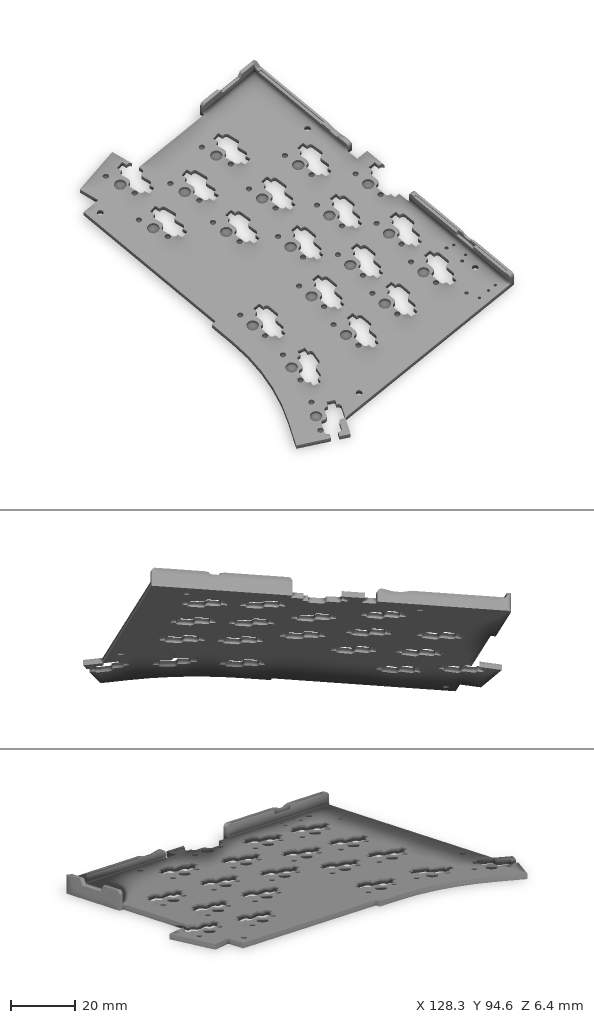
import cadquery as cq
import math


plate_width = 112.8
plate_depth = 74.7
plate_thickness = 1.8

key_pitch_x = 18.0
key_pitch_y = 17.0
rows_per_column = 3
cell_half_width = 9.2
cell_half_depth = 8.7

wall_base = 2.0
side_wall_base = 1.7
wall_foot = 0.4
wall_end_radius = 1.3
left_wall_height = 6.4
left_wall_start = 52.6
rear_left_height = 4.4
rear_left_end = 41.0
rear_right_height = 6.0
rear_right_start = 68.0
rear_face = plate_depth + wall_base

socket_post_diameter = 3.8
side_post_diameter = 1.9
side_post_offset = 5.5
recess_depth = 1.0
screw_hole_diameter = 2.0
screw_holes = [(3.8, 3.5), (109.1, 12.6), (26.4, 71.7), (100.6, 71.7)]
small_pin_diameter = 1.0
small_pins = [(89.8, 73.0), (95.1, 73.0), (109.7, 71.5), (109.7, 68.5), (109.7, 64.5)]
large_pin_diameter = 1.3
large_pins = [(89.0, 70.6), (96.0, 70.6), (105.6, 63.0)]


def turned(x, y, angle):
    """Rotate a vector counterclockwise by an angle in degrees."""
    c = math.cos(math.radians(angle))
    s = math.sin(math.radians(angle))
    return x * c - y * s, x * s + y * c


def key_point(key, x, y):
    """Plate position of a point given relative to a key centre."""
    key_x, key_y, angle = key
    dx, dy = turned(x, y, angle)
    return key_x + dx, key_y + dy


def key_column(x, y, angle):
    """Keys in line, from the front one at (x, y) backwards."""
    front_key = (x, y, angle)
    return [key_point(front_key, 0, row * key_pitch_y) + (angle,) for row in range(rows_per_column)]


middle_column = (54.7, 36.5, 0)
columns = [
    (19.6, 11.0, 10),
    (36.6, 26.2, 4),
    middle_column,
    (middle_column[0] + key_pitch_x, 27.8, 0),
    (middle_column[0] + 2 * key_pitch_x, 25.2, 0),
]
keys = [key for column in columns for key in key_column(*column)]

outer_key_shift = 7.6
outer_angle = columns[0][2]
outer_key = key_point(columns[0], -key_pitch_x, outer_key_shift) + (outer_angle,)
top_key = key_column(*middle_column)[-1]

thumb_x = 67.6
thumb_y = 7.0
thumb_edge_radius = 68.0
thumb_step = 15
thumb_count = 3
thumb_centre = (thumb_x, thumb_y - cell_half_depth - thumb_edge_radius)


def on_thumb_arc(radius, angle):
    dx, dy = turned(0, radius, -angle)
    return thumb_centre[0] + dx, thumb_centre[1] + dy


thumb_keys = [
    on_thumb_arc(thumb_edge_radius + cell_half_depth, i * thumb_step) + (-i * thumb_step,)
    for i in range(thumb_count)
]
keys += [outer_key] + thumb_keys


def key_cell(key):
    w, d = cell_half_width, cell_half_depth
    corners = [(-w, -d), (w, -d), (w, d), (-w, d)]
    outline = [key_point(key, x, y) for x, y in corners]
    return cq.Workplane("XY").polyline(outline).close().extrude(plate_thickness)


def thumb_fan():
    """Plate area under the thumb keys, with its curved front edge."""
    first, last = thumb_keys[0], thumb_keys[-1]
    w, d = cell_half_width, cell_half_depth
    fan = cq.Workplane("XY").moveTo(*key_point(first, -w, d)).lineTo(*key_point(first, -w, -d))
    fan = fan.lineTo(*on_thumb_arc(thumb_edge_radius, 0))
    for i in range(thumb_count - 1):
        middle = on_thumb_arc(thumb_edge_radius, (i + 0.5) * thumb_step)
        end = on_thumb_arc(thumb_edge_radius, (i + 1) * thumb_step)
        fan = fan.threePointArc(middle, end)
    fan = fan.lineTo(*key_point(last, w, -d)).lineTo(*key_point(last, w, d))
    fan = fan.lineTo(*key_point(last, -w, d))
    return fan.close().extrude(plate_thickness)


socket_centre = (2.5, 4.9)
lobe_left = -5.1
lobe_right = 0.5
lobe_top = 3.8
lobe_bottom = -1.7
lobe_radius = 1.0
tab_left = -6.9
tab_top = 2.5
tab_bottom = -0.3


def block(x_min, x_max, y_min, y_max, z_min, z_max):
    corner = (x_min, y_min, z_min)
    return cq.Workplane("XY").box(
        x_max - x_min, y_max - y_min, z_max - z_min, centered=False
    ).translate(corner)


def socket_opening():
    lobe = block(lobe_left, lobe_right, lobe_bottom, lobe_top, 0, plate_thickness)
    lobe = lobe.faces("<X").edges("|Z").fillet(lobe_radius)
    lobe = lobe.edges("|Z").edges(">X").edges(">Y").fillet(lobe_radius)
    tab = block(tab_left, 0, tab_bottom, tab_top, 0, plate_thickness)
    half = lobe.union(tab)
    opening = half.union(half.rotate((0, 0, 0), (0, 0, 1), 180))
    for side in (1, -1):
        neck = (side * lobe_right, -side * lobe_bottom, plate_thickness / 2)
        opening = opening.edges(cq.NearestToPointSelector(neck)).fillet(lobe_radius)
    return opening.translate((*socket_centre, 0))


def recess(points, diameter):
    """Round blind holes in the top of the plate."""
    floor = plate_thickness - recess_depth
    return (
        cq.Workplane("XY").workplane(offset=floor)
        .pushPoints(points).circle(diameter / 2).extrude(recess_depth)
    )


def key_cutter():
    side_posts = [(-side_post_offset, 0), (side_post_offset, 0)]
    cutter = socket_opening().union(recess([(0, 0)], socket_post_diameter))
    return cutter.union(recess(side_posts, side_post_diameter))


def plate():
    body = block(0, plate_width, 0, plate_depth, 0, plate_thickness)
    body = body.union(key_cell(top_key)).union(key_cell(outer_key)).union(thumb_fan())
    cutter = key_cutter()
    for x, y, angle in keys:
        body = body.cut(cutter.rotate((0, 0, 0), (0, 0, 1), angle).translate((x, y, 0)))
    body = body.cut(recess(small_pins, small_pin_diameter))
    body = body.cut(recess(large_pins, large_pin_diameter))
    screws = cq.Workplane("XY").pushPoints(screw_holes)
    body = body.cut(screws.circle(screw_hole_diameter / 2).extrude(plate_thickness))
    return cq.Workplane(max(body.solids().vals(), key=lambda solid: solid.Volume()))


def wall_profile(base, height):
    """Cross-section outwards from the plate edge, with a bevelled foot."""
    return [
        (0, 0),
        (base, 0),
        (base, height),
        (wall_foot, height),
        (wall_foot, plate_thickness + wall_foot),
        (0, plate_thickness),
    ]


def rear_wall(x_start, x_end, height):
    wall = cq.Workplane("YZ").polyline(wall_profile(wall_base, height)).close()
    return wall.extrude(x_end - x_start).translate((x_start, plate_depth, 0))


def side_wall():
    wall = cq.Workplane("XZ").polyline(
        [(-x, z) for x, z in wall_profile(side_wall_base, left_wall_height)]
    ).close().extrude(-(plate_depth + wall_foot - left_wall_start))
    wall = wall.translate((0, left_wall_start, 0))
    return wall.faces("<Y").edges(">Z").fillet(wall_end_radius)


def across_rear(outline, y_start, y_end):
    """Extrude an XZ outline through part of the rear wall's thickness."""
    return cq.Workplane("XZ", origin=(0, y_start, 0)).polyline(outline).close().extrude(y_start - y_end)


def notch(centre, top_width, floor_width, floor, top):
    """Trapezoid that cuts down from a wall's top edge."""
    return [
        (centre - top_width / 2, top),
        (centre - floor_width / 2, floor),
        (centre + floor_width / 2, floor),
        (centre + top_width / 2, top),
    ]


def flared_cut(plane, origin, near_outline, far_outline, depth):
    """Cutter that changes evenly from one outline to another over a depth."""
    near = cq.Workplane(plane, origin=origin).polyline(near_outline).close()
    return near.workplane(offset=depth).polyline(far_outline).close().loft(ruled=True)


def through_rear(inner_outline, outer_outline, y_start):
    """Cutter that widens from y_start to the rear wall's outer face."""
    depth = rear_face - y_start
    return flared_cut("XZ", (0, rear_face, 0), outer_outline, inner_outline, depth)


inner_face = plate_depth + wall_foot
ledge_face = plate_depth + 1.3

left_notch_centre = 64.9
left_notch_top_width = 9.5
left_notch_floor_width = 7.5
left_notch_floor = 4.7
left_notch_bevel = 0.4

rear_left_ledge = (1.5, 29.5)
rear_left_ledge_drop = 0.5
rear_left_notch_centre = 34.6
rear_left_notch_top_width = 3.8
rear_left_notch_outer_width = 8.7
rear_left_notch_floor_width = 2.6
rear_left_notch_floor = 3.7

rear_right_ledge = (70.2, 110.6)
rear_right_ledge_drop = 0.4
pocket_centre = 92.6
pocket_top_width = 8.0
pocket_floor_width = 7.2
pocket_floor = 4.1
rear_right_notch_top_width = 3.6
rear_right_notch_outer_width = 6.4
rear_right_notch_floor_width = 2.0
rear_right_notch_floor = 5.1


def left_walls():
    rear = rear_wall(-side_wall_base, rear_left_end, rear_left_height)
    rear = rear.faces(">X").edges(">Z").fillet(wall_end_radius)
    drop = left_wall_height - rear_left_height
    ramp = across_rear(
        [
            (-side_wall_base, rear_left_height),
            (-side_wall_base, left_wall_height),
            (drop - side_wall_base, rear_left_height),
        ],
        inner_face,
        rear_face,
    )
    walls = rear.union(ramp).union(side_wall())
    walls = walls.edges("|Z").edges("<X").edges(">Y").fillet(wall_end_radius)

    side_notch = notch(
        left_notch_centre, left_notch_top_width, left_notch_floor_width,
        left_notch_floor, left_wall_height,
    )
    bevel_notch = notch(
        left_notch_centre, left_notch_top_width + 2 * left_notch_bevel,
        left_notch_floor_width + 2 * left_notch_bevel,
        left_notch_floor - left_notch_bevel, left_wall_height,
    )
    outer_side = (-side_wall_base, 0, 0)
    walls = walls.cut(flared_cut("YZ", outer_side, side_notch, side_notch, side_wall_base))
    walls = walls.cut(flared_cut("YZ", outer_side, bevel_notch, side_notch, left_notch_bevel))

    ledge_floor = rear_left_height - rear_left_ledge_drop
    walls = walls.cut(block(*rear_left_ledge, inner_face, ledge_face, ledge_floor, rear_left_height))
    inner_notch, outer_notch = [
        notch(
            rear_left_notch_centre, top_width, rear_left_notch_floor_width,
            rear_left_notch_floor, rear_left_height,
        )
        for top_width in (rear_left_notch_top_width, rear_left_notch_outer_width)
    ]
    return walls.cut(through_rear(inner_notch, outer_notch, inner_face))


def right_wall():
    wall = rear_wall(rear_right_start, plate_width, rear_right_height)
    for end in ("<X", ">X"):
        wall = wall.faces(end).edges(">Z").fillet(wall_end_radius)
    ledge_floor = rear_right_height - rear_right_ledge_drop
    wall = wall.cut(block(*rear_right_ledge, inner_face, ledge_face, ledge_floor, rear_right_height))
    pocket = notch(pocket_centre, pocket_top_width, pocket_floor_width, pocket_floor, rear_right_height)
    wall = wall.cut(across_rear(pocket, inner_face, ledge_face))
    inner_notch, outer_notch = [
        notch(
            pocket_centre, top_width, rear_right_notch_floor_width,
            rear_right_notch_floor, rear_right_height,
        )
        for top_width in (rear_right_notch_top_width, rear_right_notch_outer_width)
    ]
    return wall.cut(through_rear(inner_notch, outer_notch, ledge_face))


result = plate().union(left_walls()).union(right_wall())